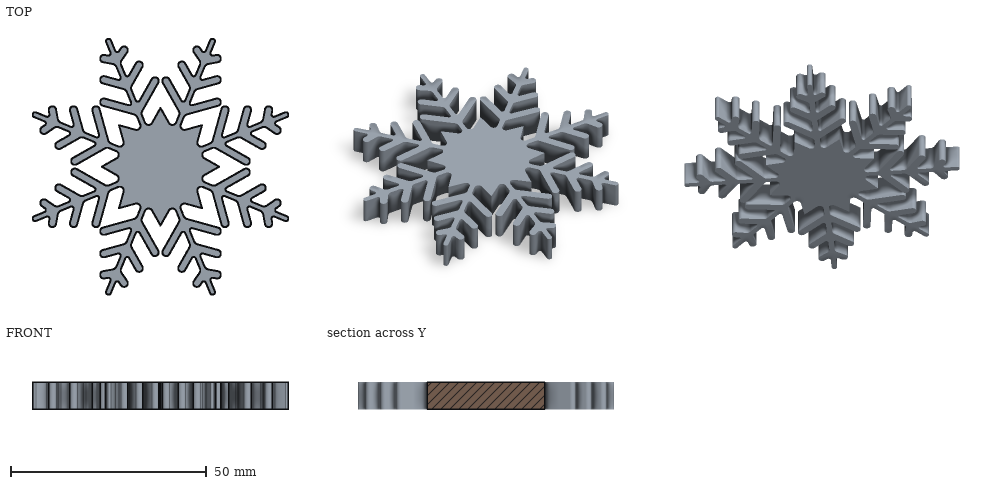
import cadquery as cq
import math

thickness = 7.0
arm_count = 8
half_sector = math.pi / arm_count
star_radius = 15.05

stem_half_width = 0.67
stem_end = 35.33
branch_half_width = 0.97
branch_angle = math.radians(52.0)
outer_branch_angle = math.radians(57.0)
first_branch_start = 15.25
branch_pitch = 7.0
branch_angles = [branch_angle, branch_angle, outer_branch_angle]
branch_tip_height = 14.48

valley_radius = 1.0
inner_foot_radius = 1.2
outer_foot_radius = 0.53
stem_end_radius = 0.6


def rotate(point, angle):
    x, y = point
    return (
        x * math.cos(angle) - y * math.sin(angle),
        x * math.sin(angle) + y * math.cos(angle),
    )


def branch_corners(start, angle):
    """Corners of one branch, as (point, radius), with the stem along +X."""
    slope = math.tan(angle)
    edge_shift = branch_half_width / math.sin(angle)
    foot_offset = stem_half_width / slope
    length = (branch_tip_height - start * math.sin(half_sector)) / math.sin(half_sector + angle)
    reach = length + branch_half_width

    def tip_corner(side):
        x, y = rotate((reach, side * branch_half_width), angle)
        return (start + x, y)

    return [
        ((start - edge_shift + foot_offset, stem_half_width), inner_foot_radius),
        (tip_corner(1), branch_half_width),
        (tip_corner(-1), branch_half_width),
        ((start + edge_shift + foot_offset, stem_half_width), outer_foot_radius),
    ]


def half_arm_corners():
    """Corners from the star valley to the end of the stem, on the +Y side of the arm."""
    star_point = rotate((star_radius, 0), half_sector)
    valley_x = star_point[0] - (star_point[1] - stem_half_width) / math.tan(branch_angle)
    corners = [((valley_x, stem_half_width), valley_radius)]
    for index, angle in enumerate(branch_angles):
        corners += branch_corners(first_branch_start + index * branch_pitch, angle)
    corners.append(((stem_end, stem_half_width), stem_end_radius))
    return corners


def snowflake_corners():
    """Corners of the whole outline, counter-clockwise from a sharp star point."""
    upper = half_arm_corners()
    lower = [((x, -y), radius) for (x, y), radius in upper]
    star_point = (rotate((star_radius, 0), -half_sector), 0)
    sector = [star_point] + lower + upper[::-1]
    corners = []
    for arm in range(arm_count):
        turn = (2 * arm + 1) * half_sector
        corners += [(rotate(point, turn), radius) for point, radius in sector]
    return corners


def corner_arc(before, corner, after, radius):
    """Start, middle and end of the arc that rounds a corner."""
    vertex = cq.Vector(*corner)
    back = (cq.Vector(*before) - vertex).normalized()
    ahead = (cq.Vector(*after) - vertex).normalized()
    half_angle = back.getAngle(ahead) / 2
    setback = radius / math.tan(half_angle)
    bisector = (back + ahead).normalized()
    middle = vertex + bisector * (radius / math.sin(half_angle) - radius)
    return vertex + back * setback, middle, vertex + ahead * setback


def rounded_outline(corners):
    """Closed wire through the corners, each rounded by its own radius."""
    tolerance = 1e-6
    first_point = corners[0][0]
    outline = cq.Workplane("XY").moveTo(*first_point)
    position = cq.Vector(*first_point)
    for index in range(1, len(corners)):
        point, radius = corners[index]
        if radius == 0:
            position = cq.Vector(*point)
            outline = outline.lineTo(*point)
            continue
        before = corners[index - 1][0]
        after = corners[(index + 1) % len(corners)][0]
        start, middle, end = corner_arc(before, point, after, radius)
        if (start - position).Length > tolerance:
            outline = outline.lineTo(start.x, start.y)
        outline = outline.threePointArc((middle.x, middle.y), (end.x, end.y))
        position = end
    return outline.close()


result = rounded_outline(snowflake_corners()).extrude(thickness)